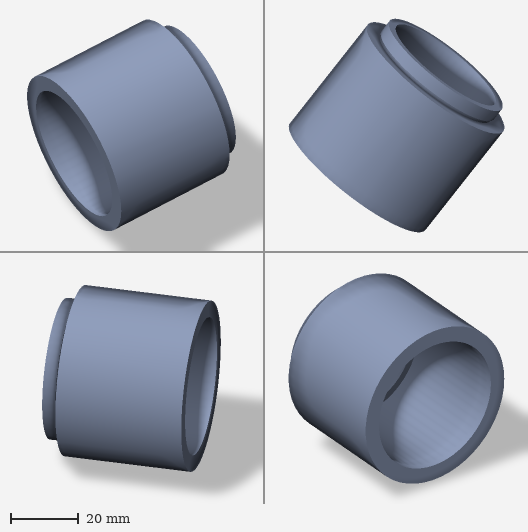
import cadquery as cq

body_diameter = 50.8
total_length = 43.1
flange_diameter = 42.05
flange_length = 3.95
neck_diameter = 41.0
neck_length = 1.05
socket_diameter = 41.0
bore_diameter = 37.0

body_length = total_length - neck_length - flange_length
shoulder_thickness = (neck_diameter - bore_diameter) / 2
socket_depth = body_length - shoulder_thickness


def cylinder_along_y(diameter, start_y, length):
    """Solid cylinder on the Y axis, extending toward +Y from start_y."""
    plane = cq.Workplane("XZ", origin=(0, start_y, 0))
    return plane.circle(diameter / 2).extrude(-length)


body = cylinder_along_y(body_diameter, 0, body_length)
neck = cylinder_along_y(neck_diameter, body_length, neck_length)
flange = cylinder_along_y(flange_diameter, body_length + neck_length, flange_length)

socket = cylinder_along_y(socket_diameter, 0, socket_depth)
bore = cylinder_along_y(bore_diameter, 0, total_length)

result = body.union(neck).union(flange).cut(socket).cut(bore)